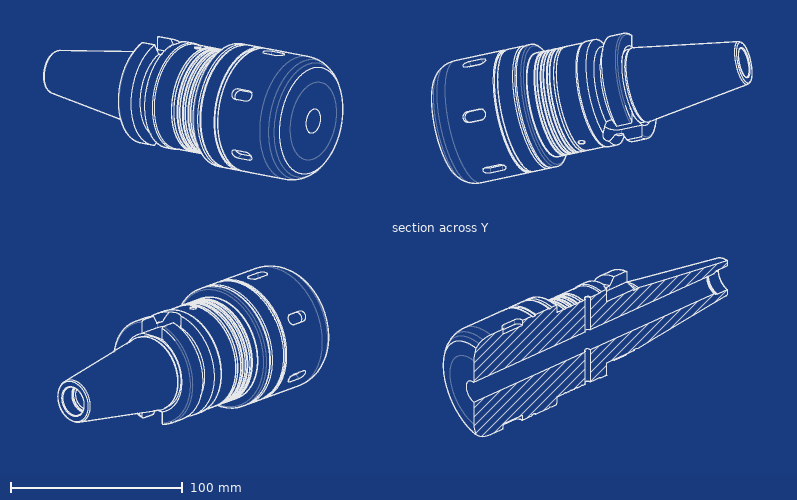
import cadquery as cq
import math


GAUGE_DIA = 44.45
SHANK_LENGTH = 65.4
TAPER_RATE = 7 / 24
SHANK_CHAMFER = 1.0
NECK_DIA = 43.5
NECK_STEP_LENGTH = 1.0

FLANGE_DIA = 63.0
FLANGE_START = 2.0
FLANGE_END = 28.0
FLANGE_ROUND = 1.0
FLANGE_CHAMFER = 1.0
FACE_RECESS_DIA = 47.5
FACE_RECESS_DEPTH = 1.3
V_CENTER = 16.5
V_FLOOR_DIA = 53.0
V_FLOOR_WIDTH = 4.0
V_FLANK_ANGLE = 30.0

DRIVE_SLOT_WIDTH = 16.0
DRIVE_SLOT_END = 22.9
DRIVE_SLOT_FLOOR = 22.5

BODY_DIA = 62.0
RELIEF_START = 40.3
RELIEF_END = 42.0
RELIEF_DIA = 61.6
NUT_RELIEF_LENGTH = 0.5
RING_GROOVE_COUNT = 3
RING_GROOVE_START = 44.3
RING_GROOVE_PITCH = 3.9
RING_GROOVE_WIDTH = 2.2
RING_GROOVE_WALL = 0.5
RING_GROOVE_DEPTH = 0.25

NUT_DIA = 73.0
NUT_START = 59.2
NUT_END = 120.0
NUT_ROUND = 1.2
V_RING_START = 63.2
V_RING_END = 65.5
V_RING_DEPTH = 0.6
GAP_START = 75.0
GAP_END = 77.2
GAP_DEPTH = 0.8
GAP_CHAMFER = 0.5

NOSE_START = 107.9
NOSE_ARC_RADIUS = 14.8
NOSE_ARC_LENGTH = 5.6
NOSE_CONE_LENGTH = 2.8
NOSE_CONE_RADIUS = 33.8
NOSE_CORNER_X = 118.5
NOSE_CORNER_RADIUS = 31.5
NOSE_FACE_RADIUS = 23.0

WRENCH_SLOT_COUNT = 6
WRENCH_SLOT_CENTER = 91.5
WRENCH_SLOT_LENGTH = 14.0
WRENCH_SLOT_WIDTH = 6.4
WRENCH_SLOT_DEPTH = 3.6

PILOT_DIA = 17.0
PILOT_MOUTH_DIA = 18.0
PILOT_MOUTH_LENGTH = 0.5
PILOT_DEPTH = 8.0
THREAD_LEAD_DIA = 16.0
THREAD_LEAD_LENGTH = 1.0
BORE_DIA = 14.25

CROSS_HOLE_X = 36.8
CROSS_HOLE_DIA = 3.4
CROSS_HOLE_MOUTH_DIA = 4.0


def turned_body():
    """Solid of revolution holding every outside diameter."""
    shank_end = -SHANK_LENGTH
    shank_radius = (GAUGE_DIA - TAPER_RATE * SHANK_LENGTH) / 2
    chamfered_x = shank_end + SHANK_CHAMFER
    chamfered_radius = (GAUGE_DIA + TAPER_RATE * chamfered_x) / 2
    neck = NECK_DIA / 2
    flange = FLANGE_DIA / 2
    body = BODY_DIA / 2
    nut = NUT_DIA / 2
    inset = 1 - math.sqrt(0.5)

    v_floor = V_FLOOR_DIA / 2
    v_flank = (flange - v_floor) * math.tan(math.radians(V_FLANK_ANGLE))
    v_left = V_CENTER - V_FLOOR_WIDTH / 2
    v_right = V_CENTER + V_FLOOR_WIDTH / 2

    profile = (
        cq.Workplane("XY")
        .moveTo(shank_end, 0)
        .lineTo(shank_end, shank_radius - SHANK_CHAMFER / 2)
        .lineTo(chamfered_x, chamfered_radius)
        .lineTo(0, GAUGE_DIA / 2)
        .lineTo(NECK_STEP_LENGTH, neck)
        .lineTo(FLANGE_START + FACE_RECESS_DEPTH, neck)
        .lineTo(FLANGE_START, FACE_RECESS_DIA / 2)
        .lineTo(FLANGE_START, flange - FLANGE_ROUND)
        .threePointArc(
            (FLANGE_START + FLANGE_ROUND * inset, flange - FLANGE_ROUND * inset),
            (FLANGE_START + FLANGE_ROUND, flange),
        )
        .lineTo(v_left - v_flank, flange)
        .lineTo(v_left, v_floor)
        .lineTo(v_right, v_floor)
        .lineTo(v_right + v_flank, flange)
        .lineTo(FLANGE_END - FLANGE_CHAMFER, flange)
        .lineTo(FLANGE_END, body)
        .lineTo(RELIEF_START, body)
        .lineTo(RELIEF_START, RELIEF_DIA / 2)
        .lineTo(RELIEF_END, RELIEF_DIA / 2)
        .lineTo(RELIEF_END, body)
    )
    for index in range(RING_GROOVE_COUNT):
        start = RING_GROOVE_START + index * RING_GROOVE_PITCH
        end = start + RING_GROOVE_WIDTH
        profile = (
            profile.lineTo(start, body)
            .lineTo(start + RING_GROOVE_WALL, body - RING_GROOVE_DEPTH)
            .lineTo(end - RING_GROOVE_WALL, body - RING_GROOVE_DEPTH)
            .lineTo(end, body)
        )
    profile = (
        profile.lineTo(NUT_START - NUT_RELIEF_LENGTH, body)
        .lineTo(NUT_START - NUT_RELIEF_LENGTH, RELIEF_DIA / 2)
        .lineTo(NUT_START, RELIEF_DIA / 2)
        .lineTo(NUT_START, nut - NUT_ROUND)
        .threePointArc(
            (NUT_START + NUT_ROUND * inset, nut - NUT_ROUND * inset),
            (NUT_START + NUT_ROUND, nut),
        )
        .lineTo(V_RING_START, nut)
        .lineTo((V_RING_START + V_RING_END) / 2, nut - V_RING_DEPTH)
        .lineTo(V_RING_END, nut)
        .lineTo(GAP_START, nut)
        .lineTo(GAP_START, nut - GAP_DEPTH)
        .lineTo(GAP_END, nut - GAP_DEPTH)
        .lineTo(GAP_END, nut - GAP_CHAMFER)
        .lineTo(GAP_END + GAP_CHAMFER, nut)
        .lineTo(NOSE_START, nut)
    )
    return add_nose(profile, nut).close().revolve(360, (0, 0, 0), (1, 0, 0))


def add_nose(profile, nut):
    """Nose outline: an arc tangent to the nut, a cone, a corner and a crown tangent to the end face."""
    sweep = math.asin(NOSE_ARC_LENGTH / NOSE_ARC_RADIUS)
    arc_drop = NOSE_ARC_RADIUS * (1 - math.cos(sweep))
    mid_x = NOSE_START + NOSE_ARC_RADIUS * math.sin(sweep / 2)
    mid_radius = nut - NOSE_ARC_RADIUS * (1 - math.cos(sweep / 2))
    arc_end_x = NOSE_START + NOSE_ARC_LENGTH
    crown_length = NUT_END - NOSE_CORNER_X
    crown_height = NOSE_CORNER_RADIUS - NOSE_FACE_RADIUS
    crown_radius = (crown_length**2 + crown_height**2) / (2 * crown_length)
    crown_half_sweep = math.asin(crown_height / crown_radius) / 2
    crown_mid_x = NUT_END - crown_radius * (1 - math.cos(crown_half_sweep))
    crown_mid_radius = NOSE_FACE_RADIUS + crown_radius * math.sin(crown_half_sweep)
    return (
        profile.threePointArc((mid_x, mid_radius), (arc_end_x, nut - arc_drop))
        .lineTo(arc_end_x + NOSE_CONE_LENGTH, NOSE_CONE_RADIUS)
        .lineTo(NOSE_CORNER_X, NOSE_CORNER_RADIUS)
        .threePointArc((crown_mid_x, crown_mid_radius), (NUT_END, NOSE_FACE_RADIUS))
        .lineTo(NUT_END, 0)
    )


def drive_slots():
    """Two opposite round-ended slots, open towards the shank."""
    radius = DRIVE_SLOT_WIDTH / 2
    center_x = DRIVE_SLOT_END - radius
    height = FLANGE_DIA / 2 - DRIVE_SLOT_FLOOR
    slot = (
        cq.Workplane("XY", origin=(0, 0, DRIVE_SLOT_FLOOR))
        .moveTo(0, -radius)
        .lineTo(center_x, -radius)
        .threePointArc((DRIVE_SLOT_END, 0), (center_x, radius))
        .lineTo(0, radius)
        .close()
        .extrude(height)
    )
    return slot.union(slot.mirror("XY"))


def wrench_slots():
    """Blind radial slots evenly spaced round the nut, the first one at +Z."""
    nut = NUT_DIA / 2
    slot = (
        cq.Workplane("XY", origin=(WRENCH_SLOT_CENTER, 0, nut - WRENCH_SLOT_DEPTH))
        .slot2D(WRENCH_SLOT_LENGTH, WRENCH_SLOT_WIDTH)
        .extrude(WRENCH_SLOT_DEPTH)
    )
    slots = slot
    for index in range(1, WRENCH_SLOT_COUNT):
        angle = index * 360 / WRENCH_SLOT_COUNT
        slots = slots.union(slot.rotate((0, 0, 0), (1, 0, 0), angle))
    return slots


def axial_bore():
    """Pilot counterbore at the shank end, a stepped lead-in and the through bore."""
    start = -SHANK_LENGTH
    shoulder = start + PILOT_DEPTH
    lead_end = shoulder + THREAD_LEAD_LENGTH
    cone_length = (THREAD_LEAD_DIA - BORE_DIA) / 2
    return (
        cq.Workplane("XY")
        .moveTo(start, 0)
        .lineTo(start, PILOT_MOUTH_DIA / 2)
        .lineTo(start + PILOT_MOUTH_LENGTH, PILOT_DIA / 2)
        .lineTo(shoulder, PILOT_DIA / 2)
        .lineTo(shoulder, THREAD_LEAD_DIA / 2)
        .lineTo(lead_end, THREAD_LEAD_DIA / 2)
        .lineTo(lead_end + cone_length, BORE_DIA / 2)
        .lineTo(NUT_END, BORE_DIA / 2)
        .lineTo(NUT_END, 0)
        .close()
        .revolve(360, (0, 0, 0), (1, 0, 0))
    )


def cross_hole():
    """Hole along Z through both walls, with chamfered mouths."""
    body = BODY_DIA / 2
    mouth = CROSS_HOLE_MOUTH_DIA / 2
    hole = CROSS_HOLE_DIA / 2
    half = (
        cq.Workplane("XZ", origin=(CROSS_HOLE_X, 0, 0))
        .lineTo(hole, 0)
        .lineTo(hole, body - (mouth - hole))
        .lineTo(mouth, body)
        .lineTo(0, body)
        .close()
        .revolve(360, (0, 0, 0), (0, 1, 0))
    )
    return half.union(half.mirror("XY"))


result = (
    turned_body()
    .cut(drive_slots())
    .cut(wrench_slots())
    .cut(axial_bore())
    .cut(cross_hole())
)